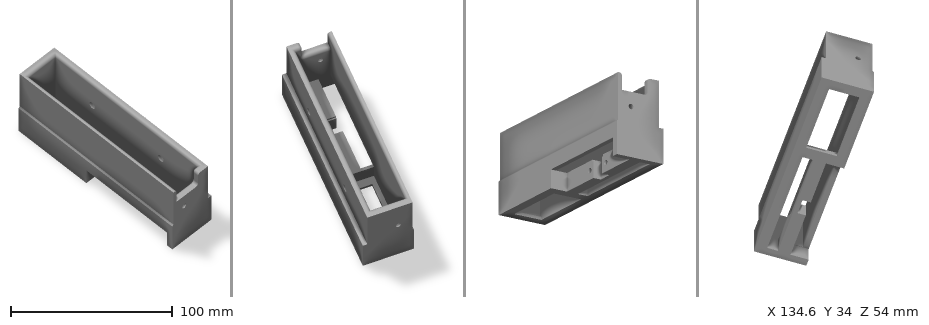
import cadquery as cq

length = 134.6
depth = 34.0
height = 54.0
shoulder_height = 23.2
back_shoulder = 3.0
front_shoulder = 1.0
front_shoulder_drop = 1.2

rim_radius = 2.0
end_wall = 5.0
front_inner_y = 3.8
back_inner_y = 27.0
cavity_right_x = length - end_wall
floor_thickness = 2.0

slot_left_x = 59.4
slot_right_x = 129.9
slot_height = 12.2
partition = 2.0
bar_front_y = 11.8
bar_thickness = 8.2

window_left_x = 6.7
window_right_x = 52.1
window_front_y = 7.0

notch_center_x = 94.5
notch_width = 10.0
notch_depth = 5.4
notch_step = 1.0
notch_step_z = 11.0
screw_diameter = 3.5
screw_spacing = 18.0
screw_z = 5.9

mount_diameter = 5.0
mount_spacing = 60.0
wall_hole_z = 33.1
end_hole_diameter = 3.5
end_hole_y = 10.4

opening_back_y = 22.5
opening_bottom_z = 42.8


def block(x0, x1, y0, y1, z0, z1):
    """Axis-aligned box between two opposite corners."""
    return cq.Workplane("XY").box(x1 - x0, y1 - y0, z1 - z0, centered=False).translate((x0, y0, z0))


def cylinder_along_y(diameter, x, y0, y1, z):
    """Round cutter running toward +Y."""
    profile = cq.Workplane("XZ", origin=(x, y0, z)).circle(diameter / 2)
    return profile.extrude(y0 - y1)


def housing_body():
    """Stepped outer profile extruded along the whole length."""
    profile = [
        (0, 0),
        (depth, 0),
        (depth, shoulder_height),
        (depth - back_shoulder, shoulder_height),
        (depth - back_shoulder, height),
        (front_shoulder, height),
        (front_shoulder, shoulder_height),
        (0, shoulder_height - front_shoulder_drop),
    ]
    return cq.Workplane("YZ").polyline(profile).close().extrude(length)


def cable_opening():
    """Cutter for the right-hand wall, with a rounded lower rear corner."""
    r = rim_radius
    profile = (
        cq.Workplane("YZ", origin=(cavity_right_x, 0, 0))
        .moveTo(front_inner_y, opening_bottom_z)
        .lineTo(opening_back_y - r, opening_bottom_z)
        .radiusArc((opening_back_y, opening_bottom_z + r), -r)
        .lineTo(opening_back_y, height)
        .lineTo(front_inner_y, height)
        .close()
    )
    return profile.extrude(end_wall)


def edges_within(corner_a, corner_b):
    """Selector for edges whose centers lie between two opposite corners."""
    margin = 0.01
    low = tuple(value - margin for value in corner_a)
    high = tuple(value + margin for value in corner_b)
    return cq.selectors.BoxSelector(low, high)


def rounded_shell():
    """Open-topped shell with its inner rim and the cable opening rounded over."""
    cavity = block(end_wall, cavity_right_x, front_inner_y, back_inner_y, floor_thickness, height)
    shell = housing_body().cut(cavity).cut(cable_opening())
    top_rim = edges_within((end_wall, front_inner_y, height), (cavity_right_x, back_inner_y, height))
    opening_rim = edges_within(
        (cavity_right_x, front_inner_y + rim_radius, opening_bottom_z),
        (cavity_right_x, opening_back_y, height),
    )
    opening_corner = edges_within(
        (cavity_right_x, opening_back_y, height),
        (length, opening_back_y, height),
    )
    return shell.edges(top_rim + opening_rim + opening_corner).fillet(rim_radius)


def rail_slot():
    """Cutter for the space below the cavity, open through the front wall and floor."""
    front_opening = block(slot_left_x, slot_right_x, 0, bar_front_y, 0, slot_height)
    floor_opening = block(slot_left_x, cavity_right_x, front_inner_y, back_inner_y, 0, slot_height)
    return front_opening.union(floor_opening)


def rail_bar():
    """Bar behind the slot, with a stepped notch and two screw holes."""
    bar_back_y = bar_front_y + bar_thickness
    bar = block(slot_left_x, slot_right_x, bar_front_y, bar_back_y, 0, slot_height)
    half_width = notch_width / 2
    notch_back_y = bar_front_y + notch_depth
    bar = bar.cut(
        block(
            notch_center_x - half_width, notch_center_x + half_width,
            bar_front_y, notch_back_y, 0, slot_height,
        )
    )
    bar = bar.cut(
        block(
            notch_center_x - half_width - notch_step, notch_center_x + half_width + notch_step,
            bar_front_y, notch_back_y + notch_step, notch_step_z, slot_height,
        )
    )
    for side in (-1, 1):
        x = notch_center_x + side * screw_spacing / 2
        bar = bar.cut(cylinder_along_y(screw_diameter, x, bar_front_y, bar_back_y, screw_z))
    return bar


def floor_window():
    """Cutter for the rectangular opening in the left-hand floor."""
    return block(window_left_x, window_right_x, window_front_y, back_inner_y, 0, floor_thickness)


def wall_holes():
    """Two holes through the back wall and one bore through both end walls."""
    bore_profile = cq.Workplane("YZ", origin=(0, end_hole_y, wall_hole_z)).circle(end_hole_diameter / 2)
    holes = bore_profile.extrude(length)
    for side in (-1, 1):
        x = length / 2 + side * mount_spacing / 2
        holes = holes.union(cylinder_along_y(mount_diameter, x, back_inner_y, depth, wall_hole_z))
    return holes


partition_wall = block(
    slot_left_x - partition, slot_left_x, front_inner_y, back_inner_y, floor_thickness, slot_height
)
result = rounded_shell().cut(rail_slot()).union(partition_wall).union(rail_bar())
result = result.cut(floor_window()).cut(wall_holes())